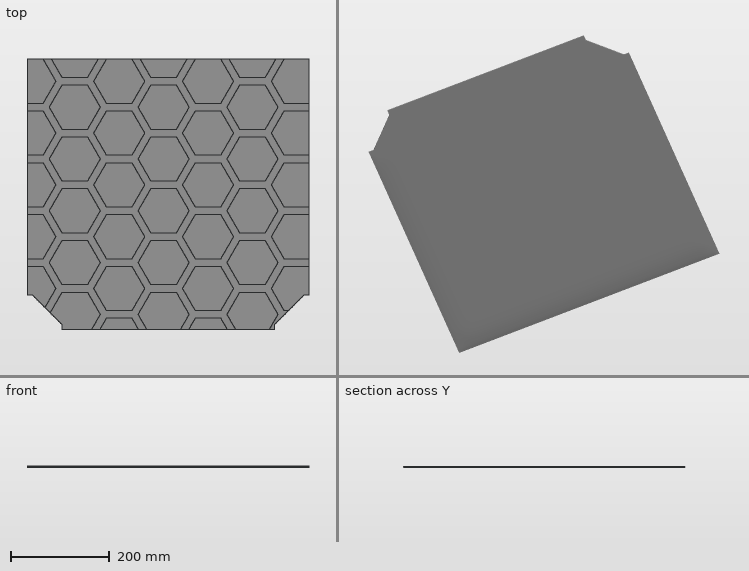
import cadquery as cq
import math

width = 571.2
length = 549.2
thickness = 3.0

corner_size = 70.0
shoulder = 10.6

hexagon_flats = 89.7
hexagon_corners = hexagon_flats / math.cos(math.radians(30))
groove_depth = 0.2
row_pitch = 105.1
column_pitch = 90.1
pattern_x = -9.4
pattern_y = -33.3
columns_each_side = 4
rows_each_side = 3


def plate_layer(height):
    """Slab with both front corners cut away, centred on the origin in X and Y."""
    side = width / 2
    back = length / 2
    inner_x = side - corner_size
    shoulder_x = side - shoulder
    corner_y = -back + corner_size
    shoulder_y = -back + shoulder
    return (
        cq.Workplane("XY")
        .moveTo(-side, back)
        .lineTo(-side, corner_y)
        .lineTo(-shoulder_x, corner_y)
        .lineTo(-inner_x, shoulder_y)
        .lineTo(-inner_x, -back)
        .lineTo(inner_x, -back)
        .lineTo(inner_x, shoulder_y)
        .lineTo(shoulder_x, corner_y)
        .lineTo(side, corner_y)
        .lineTo(side, back)
        .close()
        .extrude(height)
    )


def hexagon_centres():
    """Honeycomb grid; every other column is shifted by half a row."""
    centres = []
    for column in range(-columns_each_side, columns_each_side + 1):
        shift = row_pitch / 2 if column % 2 else 0.0
        for row in range(-rows_each_side, rows_each_side + 1):
            x = pattern_x + column * column_pitch
            y = pattern_y + row * row_pitch + shift
            centres.append((x, y))
    return centres


def hexagon_islands():
    """Hexagonal prisms standing in the groove layer, some reaching past the plate edges."""
    return (
        cq.Workplane("XY", origin=(0, 0, thickness - groove_depth))
        .pushPoints(hexagon_centres())
        .polygon(6, hexagon_corners)
        .extrude(groove_depth)
    )


def groove_network():
    """Top layer of the plate with the hexagonal islands taken out."""
    top_layer = plate_layer(groove_depth).translate((0, 0, thickness - groove_depth))
    return top_layer.cut(hexagon_islands())


result = plate_layer(thickness).cut(groove_network())